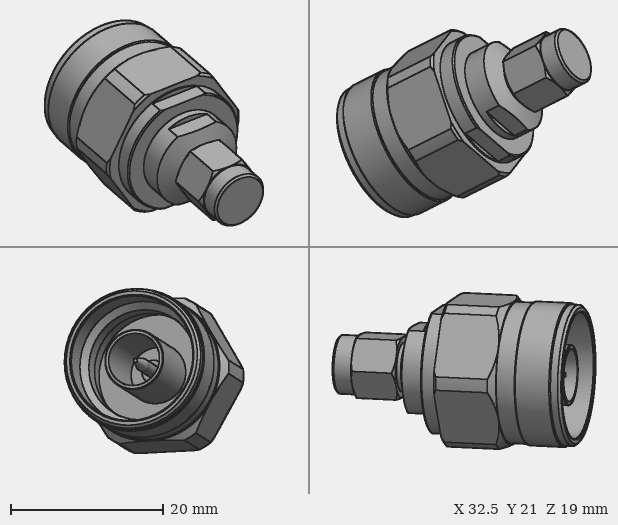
import cadquery as cq
import math


nut_length = 16.95
barrel_radius = 9.33
mouth_chamfer = 0.35
band_start = 1.33
band_end = 6.25
band_chamfer = 0.15
nut_hex_start = 8.7
nut_hex_flats = 19.0
band_radius = nut_hex_flats / 2
nut_hex_corner_radius = 10.5
nut_hex_front_radius = 9.52
nut_hex_front_chamfer = 0.88
nut_hex_back_chamfer = 0.32

mouth_bore_radius = 8.32
mouth_bore_chamfer = 0.15
bore_cone_start = 4.22
bore_cone_end = 5.07
lip_radius = 7.35
lip_end = 7.77
thread_bore_start = 8.42
thread_bore_radius = 7.85

sleeve_start = 1.07
sleeve_radius = 4.0
sleeve_chamfer = 0.1
sleeve_bore_radius = 3.48
head_start = 11.7
flange_radius = 8.75
flange_end = 19.18
flange_chamfer = 0.2
flange_rim_width = 0.15
flange_flats_start = nut_length + flange_rim_width
flange_flats = 16.0
shoulder_radius = 6.3
shoulder_flats_start = 20.25
shoulder_flats = 11.05
shoulder_cone_start = 22.33
shoulder_cone_end = 23.3
neck_radius = 3.25
neck_length_in_nut = 3.25

small_nut_start = 23.85
small_hex_end = 29.87
small_nut_end = 32.5
small_hex_flats = 8.0
small_hex_chamfer = 0.32
small_hex_end_radius = 4.03
small_collar_radius = 3.9
small_collar_chamfer = 0.3

pin_tip = 1.75
pin_tip_radius = 0.25
pin_taper_length = 3.25
pin_radius = 0.85
pin_shoulder_radius = 1.53
pin_shoulder_length = 1.62
pin_seat_depth = 1.62


def turned(profile):
    """Solid of revolution about X from (x, radius) points."""
    return cq.Workplane("XY").polyline(profile).close().revolve(360, (0, 0, 0), (1, 0, 0))


def cylinder(start, end, radius):
    """Round bar along X."""
    return cq.Workplane("YZ").workplane(offset=start).circle(radius).extrude(end - start)


def hexagon(start, end, across_flats):
    """Hexagonal bar along X with flats facing +Z and -Z and corners on +Y and -Y."""
    across_corners = across_flats / math.cos(math.pi / 6)
    return cq.Workplane("YZ").workplane(offset=start).polygon(6, across_corners).extrude(end - start)


def cut_flats(body, start, end, across_flats):
    """Cut two parallel flats, facing +Z and -Z, between two places along X."""
    block_size = 2 * flange_radius
    for side in (1, -1):
        block = cq.Workplane("XY").box(end - start, block_size, block_size).translate(
            ((start + end) / 2, 0, side * (across_flats + block_size) / 2)
        )
        body = body.cut(block)
    return body


def make_large_nut():
    barrel = turned([
        (0, 0),
        (0, barrel_radius - mouth_chamfer),
        (mouth_chamfer, barrel_radius),
        (band_start, barrel_radius),
        (band_start + band_chamfer, band_radius),
        (band_end - band_chamfer, band_radius),
        (band_end, barrel_radius),
        (nut_hex_start, barrel_radius),
        (nut_hex_start, 0),
    ])
    corner_limit = turned([
        (nut_hex_start, 0),
        (nut_hex_start, nut_hex_front_radius),
        (nut_hex_start + nut_hex_front_chamfer, nut_hex_corner_radius),
        (nut_length - nut_hex_back_chamfer, nut_hex_corner_radius),
        (nut_length, nut_hex_corner_radius - nut_hex_back_chamfer),
        (nut_length, 0),
    ])
    bore = turned([
        (0, 0),
        (0, mouth_bore_radius + mouth_bore_chamfer),
        (mouth_bore_chamfer, mouth_bore_radius),
        (bore_cone_start, mouth_bore_radius),
        (bore_cone_end, lip_radius),
        (lip_end, lip_radius),
        (thread_bore_start, thread_bore_radius),
        (nut_length, thread_bore_radius),
        (nut_length, 0),
    ])
    hexagonal_part = hexagon(nut_hex_start, nut_length, nut_hex_flats).intersect(corner_limit)
    return barrel.union(hexagonal_part).cut(bore)


def make_body():
    body = turned([
        (sleeve_start, 0),
        (sleeve_start, sleeve_radius - sleeve_chamfer),
        (sleeve_start + sleeve_chamfer, sleeve_radius),
        (head_start, sleeve_radius),
        (head_start, thread_bore_radius),
        (nut_length, thread_bore_radius),
        (nut_length, flange_radius),
        (flange_end - flange_chamfer, flange_radius),
        (flange_end, flange_radius - flange_chamfer),
        (flange_end, shoulder_radius),
        (shoulder_cone_start, shoulder_radius),
        (shoulder_cone_end, neck_radius),
        (small_nut_start + neck_length_in_nut, neck_radius),
        (small_nut_start + neck_length_in_nut, 0),
    ])
    body = cut_flats(body, flange_flats_start, flange_end, flange_flats)
    body = cut_flats(body, shoulder_flats_start, shoulder_cone_end, shoulder_flats)
    sleeve_bore = cylinder(sleeve_start, head_start, sleeve_bore_radius)
    pin_seat = cylinder(head_start, head_start + pin_seat_depth, pin_shoulder_radius)
    return body.cut(sleeve_bore).cut(pin_seat)


def make_small_nut():
    corner_radius = small_hex_flats / 2 / math.cos(math.pi / 6)
    corner_limit = turned([
        (small_nut_start, 0),
        (small_nut_start, small_hex_end_radius),
        (small_nut_start + small_hex_chamfer, corner_radius),
        (small_hex_end - small_hex_chamfer, corner_radius),
        (small_hex_end, small_hex_end_radius),
        (small_hex_end, 0),
    ])
    collar = cylinder(small_hex_end, small_nut_end, small_collar_radius)
    collar = collar.faces(">X").chamfer(small_collar_chamfer)
    socket = cylinder(small_nut_start, small_nut_start + neck_length_in_nut, neck_radius)
    hexagonal_part = hexagon(small_nut_start, small_hex_end, small_hex_flats).intersect(corner_limit)
    return hexagonal_part.union(collar).cut(socket)


def make_pin():
    shoulder_start = head_start - pin_shoulder_length
    seat_end = head_start + pin_seat_depth
    return turned([
        (pin_tip, 0),
        (pin_tip, pin_tip_radius),
        (pin_tip + pin_taper_length, pin_radius),
        (shoulder_start, pin_radius),
        (shoulder_start, pin_shoulder_radius),
        (seat_end, pin_shoulder_radius),
        (seat_end, 0),
    ])


large_nut = make_large_nut()
body = make_body()
small_nut = make_small_nut()
pin = make_pin()

result = cq.Compound.makeCompound([large_nut.val(), body.val(), small_nut.val(), pin.val()])